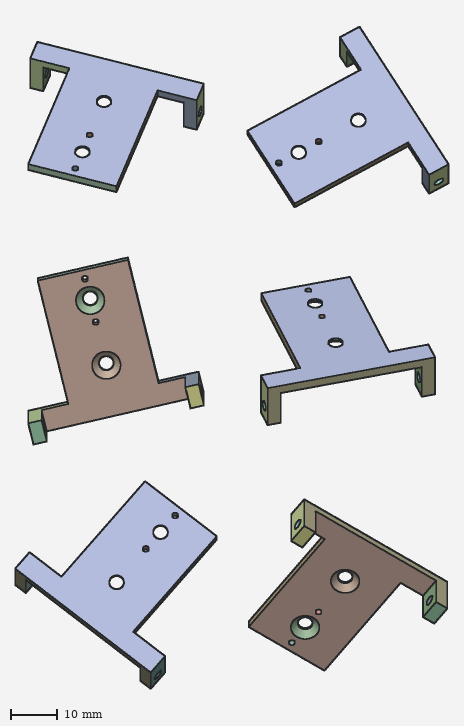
import cadquery as cq

length = 38.0
depth = 33.5
height = 10.0

plate_thickness = 2.0
plate_width = 20.15
bar_depth = 4.95
leg_thickness = 3.0

large_hole_diameter = 3.15
large_hole_straight_depth = 0.5
countersink_diameter = 6.2
large_hole_positions = (7.0, 22.0)
small_hole_diameter = 1.3
small_hole_positions = (2.0, 12.0)

leg_hole_diameter = 2.25
leg_hole_height = 3.5

bar_center_y = depth - bar_depth / 2


def plate_holes(diameter, positions):
    """Vertical cutters on the centre line of the plate."""
    return (
        cq.Workplane("XY")
        .pushPoints([(0, y) for y in positions])
        .circle(diameter / 2)
        .extrude(height)
    )


def countersink(y):
    """Cone widening from the straight part of a large hole to the underside of the plate."""
    return (
        cq.Workplane("XY", origin=(0, y, height - plate_thickness))
        .circle(countersink_diameter / 2)
        .workplane(offset=plate_thickness - large_hole_straight_depth)
        .circle(large_hole_diameter / 2)
        .loft(ruled=True)
    )


bridge = cq.Workplane("XY").box(length, bar_depth, height, centered=(True, True, False))
leg_gap = cq.Workplane("XY").box(
    length - 2 * leg_thickness,
    bar_depth,
    height - plate_thickness,
    centered=(True, True, False),
)
bridge = bridge.cut(leg_gap).translate((0, bar_center_y, 0))

plate = (
    cq.Workplane("XY")
    .box(plate_width, depth, plate_thickness, centered=(True, False, False))
    .translate((0, 0, height - plate_thickness))
)

leg_holes = (
    cq.Workplane("YZ")
    .center(bar_center_y, leg_hole_height)
    .circle(leg_hole_diameter / 2)
    .extrude(length / 2, both=True)
)

result = (
    bridge.union(plate)
    .cut(plate_holes(large_hole_diameter, large_hole_positions))
    .cut(plate_holes(small_hole_diameter, small_hole_positions))
    .cut(leg_holes)
)

for hole_y in large_hole_positions:
    result = result.cut(countersink(hole_y))